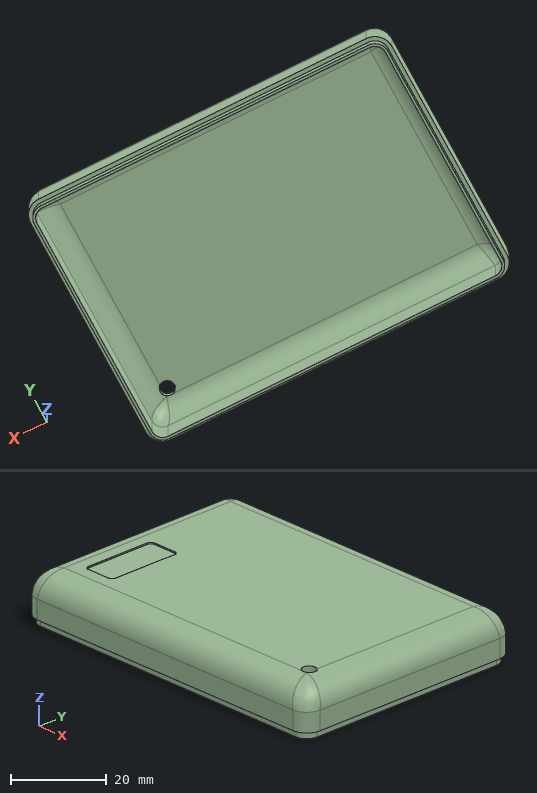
import cadquery as cq

length = 85.0
width = 60.0
height = 12.5

corner_radius = 4.0
top_round = 5.95

wall = 1.5

lip_height = 1.8
lip_inset = 0.9

pocket_length = 8.2
pocket_width = 19.1
pocket_depth = 0.3
pocket_corner_radius = 1.0
pocket_x = -29.5
pocket_y = -11.4

hole_diameter = 3.3
hole_x = 35.5
hole_y = -22.4


def rounded_block(size_x, size_y, size_z, radius):
    """Block standing on Z = 0 with rounded vertical edges."""
    block = cq.Workplane("XY").box(size_x, size_y, size_z, centered=(True, True, False))
    return block.edges("|Z").fillet(radius)


def domed_block(size_x, size_y, size_z, side_radius, top_radius):
    """Rounded block with a large round running around its top face."""
    block = rounded_block(size_x, size_y, size_z, side_radius)
    return block.faces(">Z").edges().fillet(top_radius)


body = domed_block(length, width, height - lip_height, corner_radius, top_round)
body = body.translate((0, 0, lip_height))

lip = rounded_block(
    length - 2 * lip_inset,
    width - 2 * lip_inset,
    lip_height,
    corner_radius - lip_inset,
)

cavity = domed_block(
    length - 2 * wall,
    width - 2 * wall,
    height - wall,
    corner_radius - wall,
    top_round - wall,
)

pocket = rounded_block(pocket_length, pocket_width, pocket_depth, pocket_corner_radius)
pocket = pocket.translate((pocket_x, pocket_y, height - pocket_depth))

hole = cq.Workplane("XY").center(hole_x, hole_y).circle(hole_diameter / 2).extrude(height)

result = body.union(lip).cut(cavity).cut(pocket).cut(hole)